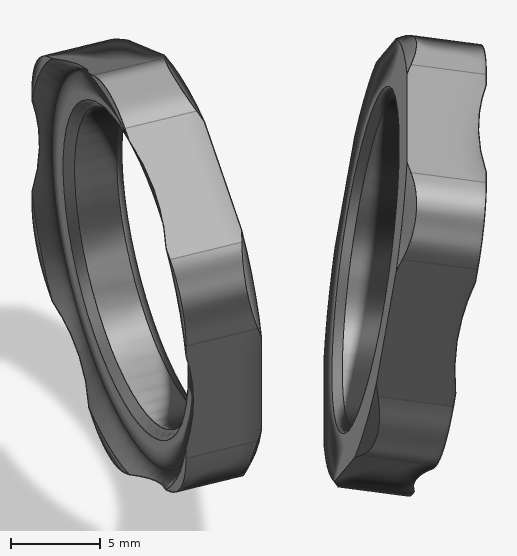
import cadquery as cq
import math

across_flats = 24.0
across_corners = 26.17
thickness = 4.5
bore_diameter = 18.5
bore_chamfer = 0.5
rim_diameter = 24.9
dish_floor_diameter = 22.9
cut_margin = 1.3

sharp_corners = across_flats / math.cos(math.radians(30))
corner_radius = (sharp_corners - across_corners) / 2 / (1 / math.cos(math.radians(30)) - 1)

bore_radius = bore_diameter / 2
rim_radius = rim_diameter / 2
dish_floor_radius = dish_floor_diameter / 2
dish_depth = rim_radius - dish_floor_radius


def revolved(profile):
    """Turn a closed (radius, y) profile around the Y axis."""
    return cq.Workplane("XY").polyline(profile).close().revolve(360, (0, 0, 0), (0, 1, 0))


def hexagon_body():
    """Rounded hexagonal prism from y = 0 to y = thickness, with corners on Z."""
    return (
        cq.Workplane("XZ")
        .transformed(rotate=(0, 0, 90))
        .polygon(6, sharp_corners)
        .extrude(-thickness)
        .edges("|Y")
        .fillet(corner_radius)
    )


def back_chamfer_envelope():
    """Cylinder with a 45 degree cone that trims the corners at the back face."""
    outer_radius = rim_radius + cut_margin
    return revolved([
        (0, 0),
        (outer_radius, 0),
        (outer_radius, thickness - cut_margin),
        (rim_radius, thickness),
        (0, thickness),
    ])


def front_dish():
    """Shallow 45 degree dish that leaves the corners standing proud."""
    return revolved([
        (0, -cut_margin),
        (rim_radius + cut_margin, -cut_margin),
        (dish_floor_radius, dish_depth),
        (0, dish_depth),
    ])


def bore():
    """Through bore, chamfered at the dish floor and at the back face."""
    mouth_radius = bore_radius + bore_chamfer
    return revolved([
        (0, 0),
        (mouth_radius, 0),
        (mouth_radius, dish_depth),
        (bore_radius, dish_depth + bore_chamfer),
        (bore_radius, thickness - bore_chamfer),
        (mouth_radius, thickness),
        (0, thickness),
    ])


result = hexagon_body().intersect(back_chamfer_envelope()).cut(front_dish()).cut(bore())